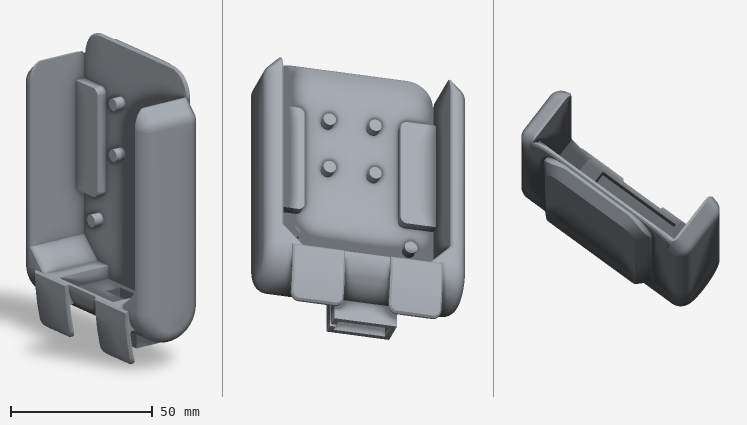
import cadquery as cq
import math


shell_width = 73.7
shell_radius = 12.5
shell_fillet = 5.0
shoulder_start = 70.8
side_wall_top = 76.2

cavity_width = 61.2
cavity_back = 10.8
cavity_corner = 7.8
edge_break = 0.6

back_top = 85.0
back_corner_radius = 9.5

belt_width = 47.0
belt_bottom = 11.5
belt_top = 84.3
belt_back = 17.5
belt_bevel = 3.9
belt_corner_radius = 9.9
belt_lower_fillet = 1.1

stand_height = 3.8
pad_width = 13.0
pad_bottom = 25.4
pad_top = 66.0
pad_corner_radius = 2.4
pin_diameter = 4.5
pin_places = [(8.4, 63.1), (8.4, 44.0), (21.4, 16.0)]

recess_width = 32.2
recess_front = -11.0
recess_depth = 5.0
window_width = 18.8
window_depth = 6.2
window_center_x = 3.0
window_center_y = 5.6
collar_wall = 2.0
collar_bottom = -20.2
collar_slit = 1.4

tab_width = 19.1
tab_center_x = 17.9
tab_front = -13.5
tab_bottom = -20.8
tab_thickness = 1.4
tab_curve_radius = 79.4
tab_root = -7.6
tab_root_fillet = 0.6
web_overlap = 0.5
tab_corner_radius = 3.0

tolerance = 0.01


def block(x_range, y_range, z_range):
    """Box spanning the given ranges."""
    size = [high - low for low, high in (x_range, y_range, z_range)]
    corner = (x_range[0], y_range[0], z_range[0])
    return cq.Workplane("XY").box(*size, centered=False).translate(corner)


def is_beside_middle(edge):
    """True for an edge centred away from the plane X = 0."""
    return abs(edge.Center().x) > tolerance


def make_shell():
    """Rounded outer body, cut level at the top of the side walls."""
    half_width = shell_width / 2
    ridge = shoulder_start + half_width
    body = (
        cq.Workplane("YZ")
        .moveTo(-shell_radius, ridge)
        .lineTo(-shell_radius, 0)
        .threePointArc((0, -shell_radius), (shell_radius, 0))
        .lineTo(shell_radius, ridge)
        .close()
        .extrude(half_width, both=True)
    )
    gable = (
        cq.Workplane("XZ")
        .moveTo(-half_width, -shell_radius)
        .lineTo(-half_width, shoulder_start)
        .lineTo(0, ridge)
        .lineTo(half_width, shoulder_start)
        .lineTo(half_width, -shell_radius)
        .close()
        .extrude(shell_radius, both=True)
    )
    body = body.intersect(gable)
    body = body.edges().filter(is_beside_middle).fillet(shell_fillet)
    top_cut = block((-half_width, half_width), (-shell_radius, shell_radius), (side_wall_top, ridge))
    return body.cut(top_cut)


def make_back_wall():
    """Flat plate with rounded upper corners that rises above the side walls."""
    return (
        block((-cavity_width / 2, cavity_width / 2), (cavity_back, shell_radius), (0, back_top))
        .edges("|Y and >Z")
        .fillet(back_corner_radius)
        .faces("<Y or >Y")
        .edges("not <Z")
        .chamfer(edge_break)
    )


def cut_cavity(shell):
    """Hollow the shell from the front and break the front edges of the cavity walls."""
    half_width = cavity_width / 2
    room = block((-half_width, half_width), (-shell_radius, cavity_back), (0, back_top))
    room = room.edges("|Y and <Z").chamfer(cavity_corner)
    hollow = shell.cut(room)

    def is_wall_front(edge):
        center = edge.Center()
        on_wall = abs(center.x) > half_width - cavity_corner and abs(center.x) < half_width + tolerance
        return on_wall and center.y < -shell_radius / 2 and center.z > 0

    return hollow.edges().filter(is_wall_front).chamfer(edge_break)


def make_belt_plate():
    """Plate with bevelled sides and top, rounded upper corners and eased lower ones."""
    half_width = belt_width / 2
    belt_front = shell_radius - edge_break
    plate = block((-half_width, half_width), (belt_front, belt_back), (belt_bottom, belt_top))
    plate = plate.edges("|Y and >Z").fillet(belt_corner_radius)

    depth = belt_back - belt_front
    spread = depth - belt_bevel
    frustum = (
        cq.Workplane("XZ", origin=(0, belt_front, 0))
        .rect(belt_width + 2 * spread, 2 * (belt_top + spread))
        .extrude(-depth, taper=45)
    )

    def is_upper_slant(edge):
        return is_beside_middle(edge) and edge.Center().z > tolerance

    frustum = frustum.edges().filter(is_upper_slant).fillet(belt_corner_radius)
    plate = plate.intersect(frustum)

    def is_lower_corner(edge):
        center = edge.Center()
        return center.z < belt_bottom + tolerance and abs(center.x) > half_width - belt_bevel

    return plate.edges().filter(is_lower_corner).fillet(belt_lower_fillet)


def make_pad(side):
    """Raised pad beside one cavity wall; side is -1 or 1."""
    wall_x = side * cavity_width / 2
    inner_x = wall_x - side * pad_width
    x_range = (min(wall_x, inner_x), max(wall_x, inner_x))
    pad = block(x_range, (cavity_back - stand_height, cavity_back), (pad_bottom, pad_top))
    inner_edges = "|Y and <X" if side > 0 else "|Y and >X"
    return pad.edges(inner_edges).fillet(pad_corner_radius)


def make_pin(x, z):
    """Round pin standing on the back wall."""
    return (
        cq.Workplane("XZ", origin=(x, cavity_back, z))
        .circle(pin_diameter / 2)
        .extrude(stand_height)
    )


def window_block(wall, z_range):
    """Block around the connector window, enlarged by a wall on every side."""
    half_width = window_width / 2 + wall
    half_depth = window_depth / 2 + wall
    return block(
        (window_center_x - half_width, window_center_x + half_width),
        (window_center_y - half_depth, window_center_y + half_depth),
        z_range,
    )


def make_collar():
    """Collar hanging around the connector window, with a cable slit on its -X side."""
    collar = window_block(collar_wall, (collar_bottom, -recess_depth))
    slit = block(
        (window_center_x - window_width, window_center_x),
        (window_center_y - collar_slit / 2, window_center_y + collar_slit / 2),
        (collar_bottom, -recess_depth),
    )
    return collar.cut(slit)


def make_tab(center_x):
    """Thin front tab that curves back below the shell, with the web that carries it."""
    center_y = tab_front + tab_curve_radius
    inner_radius = tab_curve_radius - tab_thickness
    web_end = -math.sqrt(shell_radius**2 - tab_root**2) + web_overlap

    def on_arc(radius, z):
        return (center_y - math.sqrt(radius**2 - z**2), z)

    tab = (
        cq.Workplane("YZ", origin=(center_x, 0, 0))
        .moveTo(*on_arc(tab_curve_radius, 0))
        .threePointArc(on_arc(tab_curve_radius, tab_bottom / 2), on_arc(tab_curve_radius, tab_bottom))
        .lineTo(*on_arc(inner_radius, tab_bottom))
        .threePointArc(on_arc(inner_radius, (tab_bottom + tab_root) / 2), on_arc(inner_radius, tab_root))
        .lineTo(web_end, tab_root)
        .lineTo(web_end, 0)
        .close()
        .extrude(tab_width / 2, both=True)
    )
    root_y = on_arc(inner_radius, tab_root)[0]
    tab = tab.edges(cq.NearestToPointSelector((center_x, root_y, tab_root))).fillet(tab_root_fillet)
    tab = tab.faces("<Z").edges("|Y").fillet(tab_corner_radius)
    return tab.faces("<Y").edges().chamfer(edge_break)


def make_recess():
    """Sunk part of the floor."""
    return block((-recess_width / 2, recess_width / 2), (recess_front, cavity_back), (-recess_depth, 0))


result = cut_cavity(make_shell().union(make_back_wall()))
result = result.union(make_belt_plate())
for side in (-1, 1):
    result = result.union(make_pad(side)).union(make_tab(side * tab_center_x))
    for x, z in pin_places:
        result = result.union(make_pin(side * x, z))
result = result.union(make_collar()).cut(make_recess())
result = result.cut(window_block(0, (collar_bottom, 0)))